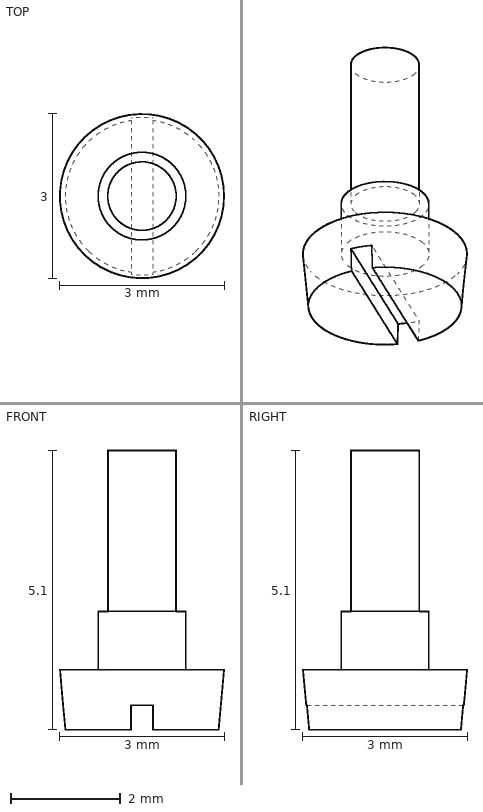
import cadquery as cq

total_height = 5.1
head_height = 1.1
shoulder_height = 1.06
shaft_height = total_height - head_height - shoulder_height

head_top_diameter = 3.0
head_bottom_diameter = 2.8
shoulder_diameter = 1.6
shaft_diameter = 1.25

slot_width = 0.4
slot_depth = 0.45


def make_head():
    """Tapered head, widest at its upper face, standing on Z = 0."""
    return (
        cq.Workplane("XY")
        .circle(head_bottom_diameter / 2)
        .workplane(offset=head_height)
        .circle(head_top_diameter / 2)
        .loft(ruled=True)
    )


def add_cylinder(body, diameter, height):
    """Stack a coaxial cylinder on the uppermost face of the body."""
    return body.faces(">Z").workplane().circle(diameter / 2).extrude(height)


def cut_slot(body):
    """Cut the slot through the full width of the head."""
    slot = cq.Workplane("XY").box(
        slot_width, head_top_diameter, slot_depth, centered=(True, True, False)
    )
    return body.cut(slot)


screw = make_head()
screw = add_cylinder(screw, shoulder_diameter, shoulder_height)
screw = add_cylinder(screw, shaft_diameter, shaft_height)
result = cut_slot(screw)